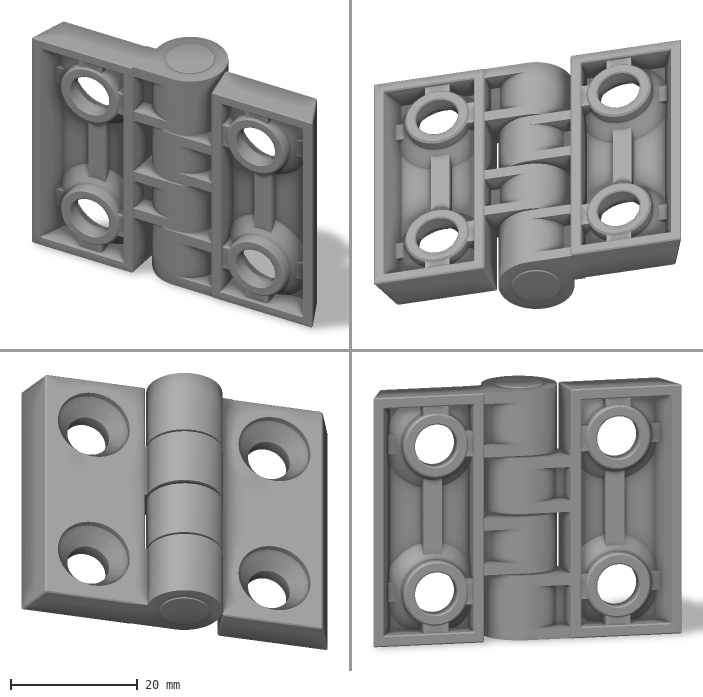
import cadquery as cq

leaf_height = 40.1
back_y = -6.3
outer_back_x = -24.95
outer_front_x = -22.5
inner_back_x = -7.0
inner_front_x = -6.3
edge_chamfer = 0.2
hinge_edge_fillet = 0.3

floor_y = -2.1
pocket_outer_floor_x = -21.3
pocket_wall = 1.7
pocket_end_wall = 1.8
pocket_chamfer = 0.2

knuckle_radius = 6.0
end_knuckle_z = (9.65, leaf_height / 2)
middle_knuckle_z = (-9.3, -0.3)
corner_fillet = 0.3
web_thickness = 1.8
web_recess_y = -3.05

boss_x = -14.7
boss_z = 11.9
boss_diameter = 10.4
boss_face_y = -6.1
boss_cone_top_y = -4.2
boss_chamfer = 0.3
cone_foot_radius = 7.55
screw_hole_diameter = 6.8
screw_hole_mouth_diameter = 7.2
countersink_diameter = 11.7
countersink_rim_y = -1.1

low_rib_width = 3.0
low_rib_y = -3.5
high_rib_width = 4.0
high_rib_y = boss_face_y + boss_chamfer

pin_diameter = 7.8
pin_length = 40.5
pin_chamfer = 0.1

pocket_outer_back_x = outer_back_x + pocket_wall
pocket_inner_x = inner_back_x - pocket_wall
pocket_half_height = leaf_height / 2 - pocket_end_wall


def prism(points, z_low, z_high):
    """Extrude an XY outline between two heights."""
    return cq.Workplane("XY").workplane(offset=z_low).polyline(points).close().extrude(z_high - z_low)


def block(x_low, x_high, y_low, y_high, z_low, z_high):
    """Box between two limits along each axis."""
    size = (x_high - x_low, y_high - y_low, z_high - z_low)
    return cq.Workplane("XY").box(*size, centered=False).translate((x_low, y_low, z_low))


def revolve_about_screw(profile, z):
    """Revolve a (radius, y) profile about the axis of the screw hole at height z."""
    turned = cq.Workplane("XY").polyline(profile).close().revolve(360, (0, 0, 0), (0, 1, 0))
    return turned.translate((boss_x, 0, z))


def plate():
    """Plate with a sloped outer side and a slightly sloped hinge side."""
    outline = [
        (outer_back_x, back_y),
        (inner_back_x, back_y),
        (inner_front_x, 0),
        (outer_front_x, 0),
    ]
    half = leaf_height / 2
    body = prism(outline, -half, half)
    body = body.edges("not >X").chamfer(edge_chamfer)
    return body.edges("|Z and >X").fillet(hinge_edge_fillet)


def pocket():
    """Cavity open to the back, with a chamfered mouth on all but the sloped side."""
    outline = [
        (pocket_outer_back_x, back_y),
        (pocket_inner_x, back_y),
        (pocket_inner_x, floor_y),
        (pocket_outer_floor_x, floor_y),
    ]
    cavity = prism(outline, -pocket_half_height, pocket_half_height)
    mouth_inner_x = pocket_inner_x + pocket_chamfer
    mouth_width = mouth_inner_x - pocket_outer_back_x
    mouth_height = 2 * (pocket_half_height + pocket_chamfer)
    mouth = (
        cq.Workplane("XZ", origin=(mouth_inner_x - mouth_width / 2, back_y, 0))
        .rect(mouth_width, mouth_height)
        .extrude(-pocket_chamfer, taper=45)
    )
    return cavity.union(mouth)


def boss(z):
    """Cylinder on a conical foot, with a chamfered end."""
    radius = boss_diameter / 2
    profile = [
        (0, 0),
        (cone_foot_radius, 0),
        (cone_foot_radius, floor_y),
        (radius, boss_cone_top_y),
        (radius, boss_face_y + boss_chamfer),
        (radius - boss_chamfer, boss_face_y),
        (0, boss_face_y),
    ]
    return revolve_about_screw(profile, z)


def screw_hole(z):
    """Through hole with a 90 degree countersink sunk below the front face."""
    radius = screw_hole_diameter / 2
    mouth_radius = screw_hole_mouth_diameter / 2
    sink_radius = countersink_diameter / 2
    profile = [
        (0, 0),
        (sink_radius, 0),
        (sink_radius, countersink_rim_y),
        (radius, countersink_rim_y - (sink_radius - radius)),
        (radius, boss_face_y + mouth_radius - radius),
        (mouth_radius, boss_face_y),
        (0, boss_face_y),
    ]
    return revolve_about_screw(profile, z)


def ribs():
    """Ribs that tie each boss to the pocket walls and to the other boss."""
    low_half = low_rib_width / 2
    high_half = high_rib_width / 2
    low_y = (low_rib_y, floor_y)
    high_y = (high_rib_y, floor_y)
    top = pocket_half_height
    body = block(boss_x - low_half, boss_x + low_half, *low_y, -boss_z, boss_z)
    for z in (-boss_z, boss_z):
        body = body.union(block(pocket_outer_back_x, boss_x, *low_y, z - low_half, z + low_half))
        body = body.union(block(boss_x, pocket_inner_x, *high_y, z - high_half, z + high_half))
    for z_low, z_high in ((-top, -boss_z), (boss_z, top)):
        body = body.union(block(boss_x - high_half, boss_x + high_half, *high_y, z_low, z_high))
    return body


def knuckle(z_low, z_high):
    """Barrel joined to the plate by a thick neck and two thin webs behind it."""
    height = z_high - z_low
    base = cq.Workplane("XY").workplane(offset=z_low)
    barrel = base.circle(knuckle_radius).extrude(height)
    neck_start_x = inner_back_x - pocket_wall / 2
    neck = block(neck_start_x, 0, web_recess_y, 0, z_low, z_high)
    webs = block(neck_start_x, 0, -knuckle_radius, web_recess_y, z_low, z_low + web_thickness)
    webs = webs.union(webs.translate((0, 0, height - web_thickness)))
    fillet_x = -knuckle_radius - corner_fillet
    fillet_end_x = -knuckle_radius + corner_fillet
    fillet = block(fillet_x, fillet_end_x, -corner_fillet, corner_fillet, z_low, z_high)
    fillet = fillet.cut(base.center(fillet_x, corner_fillet).circle(corner_fillet).extrude(height))
    return barrel.union(neck).union(webs).union(fillet)


def leaf():
    """Leaf on the -X side of the pin, with the top knuckle and one below the middle."""
    body = plate()
    for z_range in (end_knuckle_z, middle_knuckle_z):
        body = body.union(knuckle(*z_range))
    cavity = pocket()
    filling = ribs()
    for z in (-boss_z, boss_z):
        filling = filling.union(boss(z))
    body = body.cut(cavity.cut(filling))
    for z in (-boss_z, boss_z):
        body = body.cut(screw_hole(z))
    return body.cut(cq.Workplane("XY").circle(pin_diameter / 2).extrude(leaf_height, both=True))


def hinge_pin():
    body = cq.Workplane("XY").circle(pin_diameter / 2).extrude(pin_length / 2, both=True)
    return body.faces("|Z").chamfer(pin_chamfer)


left_leaf = leaf()
right_leaf = leaf().rotate((0, 0, 0), (0, 1, 0), 180)
pin = hinge_pin()

result = cq.Compound.makeCompound([left_leaf.val(), right_leaf.val(), pin.val()])